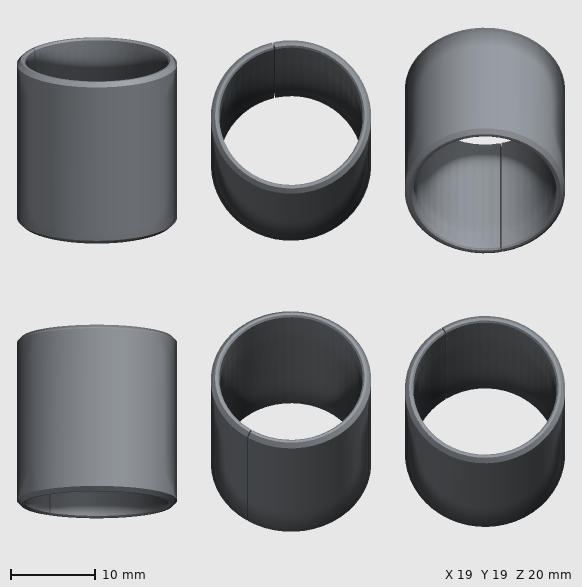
import cadquery as cq

outer_diameter = 19.0
wall_thickness = 1.0
length = 20.0

outer_chamfer = 0.5
bore_chamfer = 0.2

seam_angle = 1.0

outer_radius = outer_diameter / 2
bore_radius = outer_radius - wall_thickness
end_land_outer_radius = outer_radius - outer_chamfer
end_land_inner_radius = bore_radius + bore_chamfer


def make_wall():
    """Sweep the chamfered wall section around Z, leaving the seam open."""
    half_length = length / 2
    outer_wall_half = half_length - outer_chamfer
    bore_wall_half = half_length - bore_chamfer

    section = (
        cq.Workplane("XZ")
        .moveTo(-bore_radius, -bore_wall_half)
        .lineTo(-end_land_inner_radius, -half_length)
        .lineTo(-end_land_outer_radius, -half_length)
        .lineTo(-outer_radius, -outer_wall_half)
        .lineTo(-outer_radius, outer_wall_half)
        .lineTo(-end_land_outer_radius, half_length)
        .lineTo(-end_land_inner_radius, half_length)
        .lineTo(-bore_radius, bore_wall_half)
        .close()
    )
    return section.revolve(360 - seam_angle, (0, 0), (0, 1))


result = make_wall()